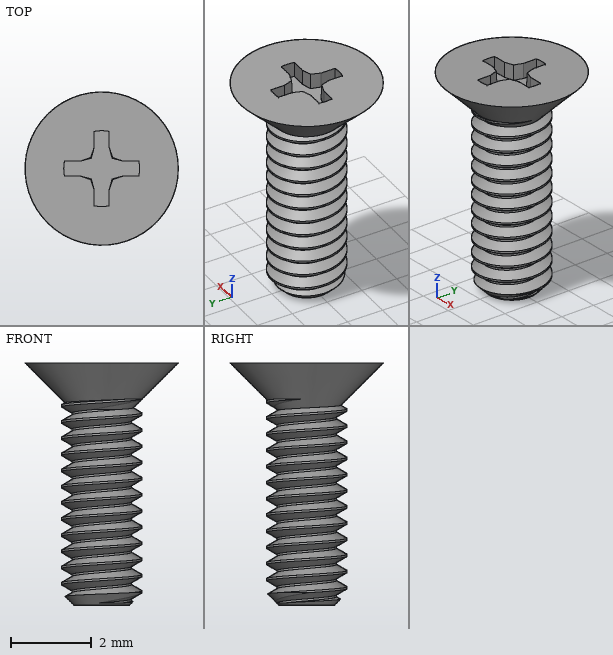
import cadquery as cq
import math

screw_length = 6.0
head_diameter = 3.8
head_half_angle = 45.0

thread_diameter = screw_length / 3
pitch = screw_length / 15
flat_width = pitch / 8
flank_angle = 30.0
crest_height_at_x_axis = 0.335
tip_radius = 0.685

recess_depth = 0.42
recess_diameter = 1.88
arm_width = 0.37
web_start = 0.52
web_corner = 0.273
web_corner_at_floor = 0.26

head_radius = head_diameter / 2
thread_radius = thread_diameter / 2
thread_depth = (pitch / 2 - flat_width) / math.tan(math.radians(flank_angle))
root_radius = thread_radius - thread_depth


def cone_height(radius):
    """Height of the head cone's surface at a given radius."""
    return screw_length - (head_radius - radius) / math.tan(math.radians(head_half_angle))


shank_top = cone_height(thread_radius) + pitch / 4


def make_head():
    """Countersunk cone running down to the root of the thread."""
    return (
        cq.Workplane("XZ")
        .moveTo(0, screw_length)
        .lineTo(head_radius, screw_length)
        .lineTo(root_radius, cone_height(root_radius))
        .lineTo(0, cone_height(root_radius))
        .close()
        .revolve(360, (0, 0, 0), (0, 1, 0))
    )


def make_shank_envelope():
    """Limits of the shank: 45 degree tip cone, clear of the crests, top buried in the head."""
    return (
        cq.Workplane("XZ")
        .lineTo(tip_radius, 0)
        .lineTo(head_radius, head_radius - tip_radius)
        .lineTo(head_radius, shank_top)
        .lineTo(0, shank_top)
        .close()
        .revolve(360, (0, 0, 0), (0, 1, 0))
    )


def make_thread_ridge():
    """Right-handed ridge that overruns both ends of the shank."""
    base_width = pitch - flat_width / 2
    base_radius = thread_radius - (base_width - flat_width) / 2 / math.tan(math.radians(flank_angle))
    start = crest_height_at_x_axis - 2 * pitch
    path = cq.Wire.makeHelix(pitch, shank_top + pitch - start, base_radius, cq.Vector(0, 0, start))
    return (
        cq.Workplane("XZ")
        .moveTo(base_radius, start - base_width / 2)
        .lineTo(thread_radius, start - flat_width / 2)
        .lineTo(thread_radius, start + flat_width / 2)
        .lineTo(base_radius, start + base_width / 2)
        .close()
        .sweep(cq.Workplane(path), isFrenet=True)
    )


def make_threaded_shank():
    """Root cylinder with the ridge around it, trimmed to the envelope."""
    overrun = 2 * pitch
    core = cq.Workplane("XY", origin=(0, 0, -overrun)).circle(root_radius).extrude(shank_top + 2 * overrun)
    return core.union(make_thread_ridge()).intersect(make_shank_envelope())


def web_outline(corner):
    """Points of the star-shaped recess center; corner is the X and Y of each web's inner edge."""
    half_arm = arm_width / 2
    points = []
    for quarter in range(4):
        angle = math.radians(90 * quarter)
        for x, y in [(web_start, half_arm), (corner, corner), (half_arm, web_start)]:
            rotated_x = x * math.cos(angle) - y * math.sin(angle)
            rotated_y = x * math.sin(angle) + y * math.cos(angle)
            points.append((rotated_x, rotated_y))
    return points


def make_recess():
    """Straight-walled cross with rounded arm ends and leaning webs between the arms."""
    top = cq.Workplane("XY", origin=(0, 0, screw_length))
    disc = top.circle(recess_diameter / 2).extrude(-recess_depth)
    arm_along_x = top.rect(head_diameter, arm_width).extrude(-recess_depth)
    arm_along_y = top.rect(arm_width, head_diameter).extrude(-recess_depth)
    cross = arm_along_x.union(arm_along_y).intersect(disc)
    center = (
        top.polyline(web_outline(web_corner))
        .close()
        .workplane(offset=-recess_depth)
        .polyline(web_outline(web_corner_at_floor))
        .close()
        .loft(ruled=True)
    )
    return cross.union(center)


result = make_head().union(make_threaded_shank()).cut(make_recess())